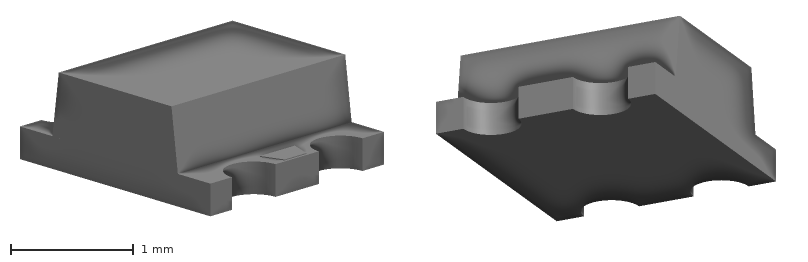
import cadquery as cq


board_length = 2.2
board_width = 2.0
board_thickness = 0.28
notch_radius = 0.25
notch_spacing = board_width / 2

total_height = 0.84
lens_height = total_height - board_thickness
lens_base_length = 1.45
lens_top_length = 1.302

mark_inner_x = 0.871
mark_outer_x = 1.08
mark_inner_width = 0.4
mark_outer_width = 0.25
mark_height = 0.009


def make_polarity_mark():
    """Trapezoid that narrows toward the +X end of the board."""
    return (
        cq.Workplane("XY", origin=(0, 0, board_thickness))
        .moveTo(mark_inner_x, -mark_inner_width / 2)
        .lineTo(mark_outer_x, -mark_outer_width / 2)
        .lineTo(mark_outer_x, mark_outer_width / 2)
        .lineTo(mark_inner_x, mark_inner_width / 2)
        .close()
        .extrude(mark_height)
    )


def make_board():
    """Flat board with two half-round notches in each end and the mark on top."""
    plate = cq.Workplane("XY").box(
        board_length, board_width, board_thickness, centered=(True, True, False)
    )
    notches = (
        cq.Workplane("XY")
        .rect(board_length, notch_spacing, forConstruction=True)
        .vertices()
        .circle(notch_radius)
        .extrude(board_thickness)
    )
    return plate.cut(notches).union(make_polarity_mark())


def make_lens():
    """Block with sloping ends, flush with both long sides of the board."""
    return (
        cq.Workplane("XZ", origin=(0, board_width / 2, 0))
        .moveTo(-lens_base_length / 2, board_thickness)
        .lineTo(lens_base_length / 2, board_thickness)
        .lineTo(lens_top_length / 2, board_thickness + lens_height)
        .lineTo(-lens_top_length / 2, board_thickness + lens_height)
        .close()
        .extrude(board_width)
    )


board = make_board()
lens = make_lens()
result = cq.Compound.makeCompound([board.solids().val(), lens.val()])